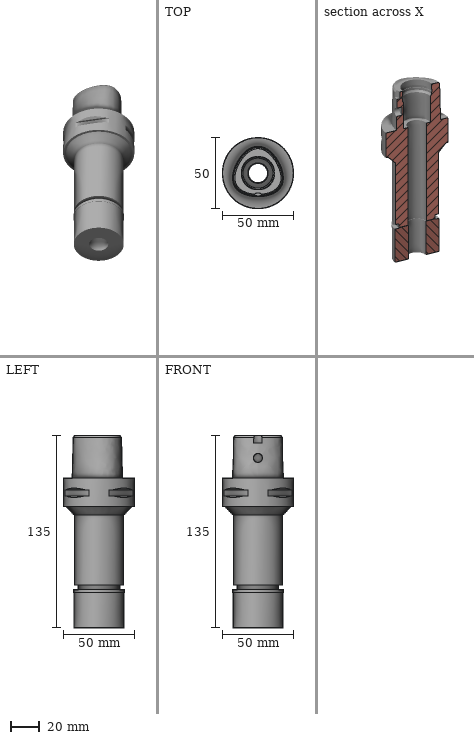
import cadquery as cq
import math

total_height = 135.0
nut_height = 26.7
nut_collar_height = 2.0
neck_height = 3.2
shank_top = 79.1
flange_bottom = 85.0
flange_top = 105.0

flange_diameter = 50.0
shank_diameter = 34.7
cone_top_diameter = 46.2
neck_diameter = 29.2
nut_diameter = 35.1
nut_collar_diameter = 35.5

lobe_mean_radius = 17.7
lobe_offset = 1.16
taper_slope = 1 / 40
tip_chamfer_height = 1.5
tip_chamfer_inset = 1.0
lobe_points = 48

mouth_radius = 11.5
groove_radius = 11.9
groove_start_depth = 4.3
groove_end_depth = 6.2
ledge_start_depth = 8.1
ledge_end_depth = 9.6
counterbore_radius = 10.5
bore_radius = 7.2
nut_bore_radius = 6.8

notch_radius = 3.2
notch_depth = 5.4
notch_center_y = -17.0
pocket_diameter = 6.2
pocket_z = 119.2
pocket_bottom_y = -12.2

slot_count = 4
slot_first_angle = 45.0
slot_floor_radius = 21.9
slot_z = 94.8
slot_wall_depth = 1.4
slot_floor_height = 4.2
slot_mouth_height = 6.6


def lobed_wire(z, inset):
    """Closed trochoid with one lobe pointing along +Y, its mean radius reduced by inset."""
    radius = lobe_mean_radius - inset
    points = []
    for i in range(lobe_points):
        angle = 2 * math.pi * i / lobe_points
        x = radius * math.sin(angle) - lobe_offset * math.sin(2 * angle)
        y = radius * math.cos(angle) + lobe_offset * math.cos(2 * angle)
        points.append(cq.Vector(x, y, z))
    return cq.Wire.assembleEdges([cq.Edge.makeSpline(points, periodic=True)])


def lobed_taper():
    """Tapered polygon shank with a chamfered tip."""
    chamfer_z = total_height - tip_chamfer_height
    chamfer_inset = (chamfer_z - flange_top) * taper_slope
    tip_inset = chamfer_inset + tip_chamfer_inset
    base = lobed_wire(flange_top, 0)
    shoulder = lobed_wire(chamfer_z, chamfer_inset)
    tip = lobed_wire(total_height, tip_inset)
    taper = cq.Solid.makeLoft([base, shoulder], True)
    chamfer = cq.Solid.makeLoft([shoulder, tip], True)
    return cq.Workplane(taper).union(cq.Workplane(chamfer))


def revolved(profile):
    """Solid of revolution about Z from a list of (radius, z) points."""
    return cq.Workplane("XZ").polyline(profile).close().revolve(360, (0, 0), (0, 1))


def holder_blank():
    """Turned neck, shank, cone and flange."""
    neck_top = nut_height + neck_height
    return revolved([
        (0, nut_height),
        (neck_diameter / 2, nut_height),
        (neck_diameter / 2, neck_top),
        (shank_diameter / 2, neck_top),
        (shank_diameter / 2, shank_top),
        (cone_top_diameter / 2, flange_bottom),
        (flange_diameter / 2, flange_bottom),
        (flange_diameter / 2, flange_top),
        (0, flange_top),
    ])


def holder_bore():
    """Grooved mouth, conical ledge and counterbore above the through bore."""
    groove_top = total_height - groove_start_depth
    groove_bottom = total_height - groove_end_depth
    return revolved([
        (0, nut_height),
        (bore_radius, nut_height),
        (bore_radius, flange_top),
        (counterbore_radius, flange_top),
        (counterbore_radius, total_height - ledge_end_depth),
        (mouth_radius, total_height - ledge_start_depth),
        (mouth_radius, groove_bottom),
        (groove_radius, groove_bottom),
        (groove_radius, groove_top),
        (mouth_radius, groove_top),
        (mouth_radius, total_height),
        (0, total_height),
    ])


def drive_notch():
    return (
        cq.Workplane("XY", origin=(0, notch_center_y, total_height - notch_depth))
        .circle(notch_radius)
        .extrude(notch_depth)
    )


def round_pocket():
    """Blind round pocket opening towards -Y."""
    return (
        cq.Workplane("XZ", origin=(0, pocket_bottom_y, pocket_z))
        .circle(pocket_diameter / 2)
        .extrude(flange_diameter / 2 + pocket_bottom_y)
    )


def gripper_slot(angle):
    """Flat-floored slot across the flange, with short straight walls that flare outwards."""
    flange_radius = flange_diameter / 2
    wall_radius = slot_floor_radius + slot_wall_depth
    half_floor = slot_floor_height / 2
    half_mouth = slot_mouth_height / 2
    profile = [
        (slot_floor_radius, slot_z - half_floor),
        (wall_radius, slot_z - half_floor),
        (flange_radius, slot_z - half_mouth),
        (flange_radius, slot_z + half_mouth),
        (wall_radius, slot_z + half_floor),
        (slot_floor_radius, slot_z + half_floor),
    ]
    slot = cq.Workplane("XZ").polyline(profile).close().extrude(flange_radius, both=True)
    return slot.rotate((0, 0, 0), (0, 0, 1), angle)


def make_holder():
    holder = holder_blank().union(lobed_taper()).cut(holder_bore())
    holder = holder.cut(drive_notch()).cut(round_pocket())
    for i in range(slot_count):
        holder = holder.cut(gripper_slot(slot_first_angle + i * 360 / slot_count))
    return holder


def make_nut():
    """Clamping nut with a thin collar, seated against the end of the holder neck."""
    collar_bottom = nut_height - nut_collar_height
    return revolved([
        (nut_bore_radius, 0),
        (nut_diameter / 2, 0),
        (nut_diameter / 2, collar_bottom),
        (nut_collar_diameter / 2, collar_bottom),
        (nut_collar_diameter / 2, nut_height),
        (nut_bore_radius, nut_height),
    ])


holder = make_holder()
nut = make_nut()
result = cq.Compound.makeCompound([holder.val(), nut.val()])